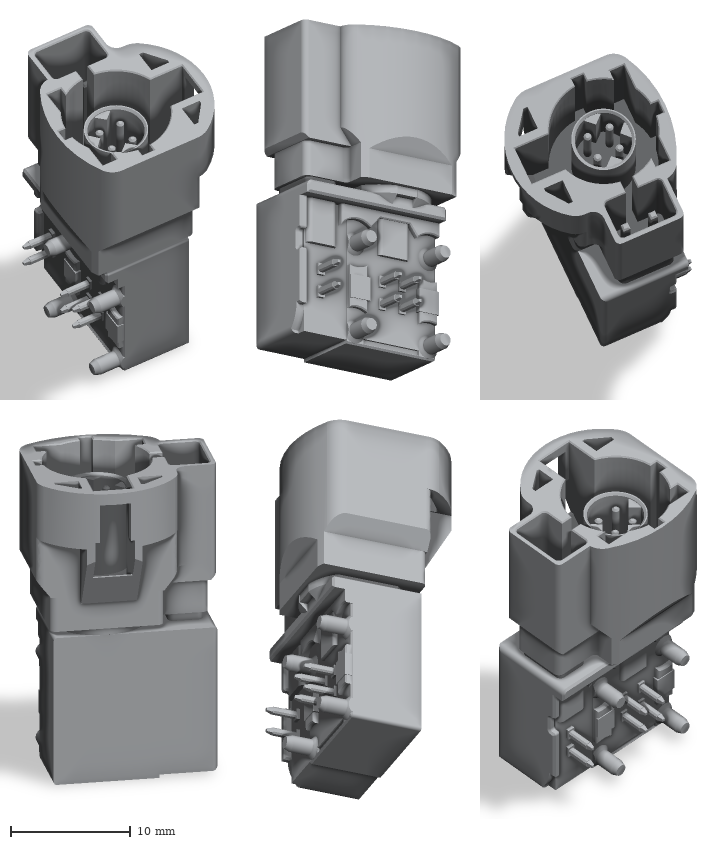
import cadquery as cq
import math


TOP_Z = 27.3
RIM_Z = 22.3
SHELL_Z = 16.93
COLLAR_Z = 13.87
BASE_TOP_Z = 13.15
LIP_Z = 12.0
CAVITY_Z = 17.88

SHELL_HALF_X = 6.0
REAR_Y = 8.45
REAR_RADIUS = 6.93
FRONT_Y = -5.68
FRONT_RADIUS = 10.78
REAR_CORNER_RADIUS = 2.05
FRONT_CORNER_RADIUS = 1.7
COLLAR_HALF = 4.83
COLLAR_CORNER = 0.55
SIDE_BEVEL_Z = 18.43
FRONT_FLAT_Z = 16.43
FRONT_BEVEL_Z = 17.9

CAVITY_RADIUS = 4.61
LEAD_IN = 0.1
KEY_WIDTH = 1.1
SIDE_KEY_X = 5.3
FRONT_KEY_Y = -5.27
CROSS_SLOT_HALF_X = 4.61
CROSS_SLOT_Y = (-3.99, -2.68)
SHIELD_RADIUS = 2.7
SHIELD_BORE = 2.4
SHIELD_BEVEL = 0.2
SHIELD_Z = 25.05
INSULATOR_Z = 19.65
RIB_Z = 24.8
RIB_TIP = 1.53
RIB_SHOULDER = 2.2
RIB_ROOT = 2.57
RIB_HALF_WIDTH = 0.75
RIB_ROOT_HALF_WIDTH = 0.55
CONTACT_RADIUS = 0.33
CONTACT_OFFSET = 1.0
CONTACT_Z = 24.38

RIM_HOLE_X = (-4.6, -2.5)
RIM_HOLE_Y = (4.91, 6.63)
RIM_HOLE_FAR_WIDTH = 0.27
RIM_HOLE_LEFT_HEIGHT = 0.38

TOWER_HALF_X = 2.38
TOWER_Z = 16.5
TOWER_FOOT_Y = 5.5
TOWER_SLOPE_TOP = (8.33, 21.38)
LATCH_HALF_X = 1.7
LATCH_Y = 7.4
LATCH_RAMP_Y = (5.73, 6.88)
LATCH_SILL_Z = 19.38
WINDOW_Z = 22.93
NARROW_WINDOW_HALF_X = 1.3
NARROW_WINDOW_Z = 26.32

PORT_X = -9.65
PORT_HALF_Y = 3.15
PORT_CORNER = 0.5
PORT_FILLET = 1.0
PORT_CAVITY_X = (-9.2, -5.7)
PORT_CAVITY_HALF_Y = 2.65
PORT_CAVITY_CORNER = 0.4
PORT_COLLAR_X = -9.05
PORT_COLLAR_HALF_Y = 2.55
PORT_COLLAR_CORNER = 0.57
PORT_COLLAR_FILLET = 0.4
BLADE_X = -7.2
BLADE_OFFSET_Y = 1.25
BLADE_WIDTH = 0.63
BLADE_TIP_WIDTH = 0.33
BLADE_Z = 23.2

NECK_RADIUS = 4.48
NECK_HALF_X = 3.55
NECK_SLOT_WIDTH = 2.02
NECK_FLAT_Y = -4.3
BOSS_Y = -2.32
PORT_NECK_X = (-8.68, -5.68)
PORT_NECK_Y = (-2.32, 2.32)
PORT_NECK_CORNER = 0.5

BASE_X = (-9.53, 4.53)
BASE_BACK_Y = 4.45
STEP_X = -4.48
LEFT_BOTTOM_Z = 0.3
LEFT_FACE_Y = -1.85
RIGHT_FACE_Y = -1.95
PAD_Y = -2.48
LIP_Y = -3.6
BASE_ROUND = 0.5
RIGHT_ROUND = 0.27
RIGHT_BEVEL = 0.16
LIP_CHAMFER = 0.2
WALL_X = -8.75
WALL_NOTCH_Z = (7.48, 9.15)
WALL_END_Z = 2.57
WALL_FOOT_MIDDLE = (-1.55, 1.42)
WALL_FOOT = (-1.0, 0.55)
WALL_NOTCH_ROUND = 0.22
WALL_CHAMFER = 0.2
HEADER_X = -5.35
HEADER_CUSP_FROM_PEG = 1.4
LEFT_BOSS_Z = 8.14
MIDDLE_BOSS_X = (-1.42, 1.58)
MIDDLE_BOSS_ROUND = 0.33
MIDDLE_BOSS_Z = (8.25, 11.45)
RECESS_HALF_X = 2.8
RECESS_Z = (0.2, 0.65)
RECESS_DEPTH = 0.22

PEG_X = (-3.75, 3.75)
PEG_Z = (1.12, 8.85)
PEG_RADIUS = 0.7
PEG_ROOT_RADIUS = 1.0
PEG_TIP_RADIUS = 0.52
PEG_SHOULDER_Y = -4.0
PEG_TIP_Y = -4.53
PEG_CLEARANCE = 2.1
PAD_X = ((-4.42, -2.65), (2.65, 4.42))
PAD_STEP = 0.08
RAISED_BEVEL = 0.1
PAD_Z = (2.75, 7.2)
PAD_BLOCK_X = ((-4.42, -2.48), (2.5, 4.48))
PAD_BLOCK_Z = (3.93, 5.98)
PIN_X = (BLADE_X, -0.98, 1.0)
PIN_Z = (3.99, 5.98)
PIN_WIDTH = 0.6
PIN_CHAMFER = 0.15
PIN_NECK_WIDTH = 0.5
PIN_TIP_WIDTH = 0.25
PIN_TAPER_Y = -4.23
PIN_TIP_Y = -4.78
PIN_COLLAR = (0.65, 0.98)
PIN_COLLAR_HEIGHT = 0.22

SPAN = 32.75


def block(x, y, z):
    """Box between pairs of limits along X, Y and Z."""
    size = (x[1] - x[0], y[1] - y[0], z[1] - z[0])
    return cq.Workplane("XY").box(*size, centered=False).translate((x[0], y[0], z[0]))


def cylinder(radius, z):
    return cq.Workplane("XY").workplane(offset=z[0]).circle(radius).extrude(z[1] - z[0])


def side_prism(points, half_x):
    """Prism across X, symmetric about X = 0, from a (Y, Z) outline."""
    return cq.Workplane("YZ").polyline(points).close().extrude(half_x, both=True)


def front_prism(points, front_y, back_y):
    """Prism along Y from an (X, Z) outline."""
    outline = cq.Workplane("XZ", origin=(0, back_y, 0)).polyline(points).close()
    return outline.extrude(back_y - front_y)


def shell_outline(bottom, top):
    """Prism with the outline of the round port: two arcs joined by straight sides."""
    rear_side_y = REAR_Y - REAR_RADIUS + math.sqrt(REAR_RADIUS**2 - SHELL_HALF_X**2)
    front_side_y = FRONT_Y + FRONT_RADIUS - math.sqrt(FRONT_RADIUS**2 - SHELL_HALF_X**2)
    outline = (
        cq.Workplane("XY").workplane(offset=bottom)
        .moveTo(-SHELL_HALF_X, front_side_y)
        .threePointArc((0, FRONT_Y), (SHELL_HALF_X, front_side_y))
        .lineTo(SHELL_HALF_X, rear_side_y)
        .threePointArc((0, REAR_Y), (-SHELL_HALF_X, rear_side_y))
        .close()
    )
    prism = outline.extrude(top - bottom)
    prism = prism.edges("|Z").edges(">Y").fillet(REAR_CORNER_RADIUS)
    return prism.edges("|Z").edges("<Y").fillet(FRONT_CORNER_RADIUS)


def front_part(half_x, bottom, top):
    """Shell outline cut off behind the collar, with rounded rear corners."""
    limits = block((-half_x, half_x), (-SPAN, COLLAR_HALF), (bottom, top))
    return shell_outline(bottom, top).intersect(limits).edges("|Z and >Y").fillet(COLLAR_CORNER)


def round_shell():
    rim = shell_outline(RIM_Z, TOP_Z)
    middle = front_part(SHELL_HALF_X, SHELL_Z, RIM_Z)
    for side in (-1, 1):
        bevel = [(side * COLLAR_HALF, SHELL_Z), (side * SHELL_HALF_X, SIDE_BEVEL_Z), (side * SPAN, SHELL_Z)]
        middle = middle.cut(front_prism(bevel, -SPAN, SPAN))
    tower = side_prism(
        [(0, TOWER_Z), (TOWER_FOOT_Y, TOWER_Z), TOWER_SLOPE_TOP, (REAR_Y, RIM_Z), (0, RIM_Z)],
        TOWER_HALF_X,
    )
    tower = tower.intersect(shell_outline(TOWER_Z, RIM_Z))
    collar = front_part(COLLAR_HALF, COLLAR_Z, SHELL_Z)
    return rim.union(middle).union(tower).union(collar)


def front_flat():
    """Cutter for the flat and the slope above it on the front of the collar."""
    return side_prism(
        [
            (-COLLAR_HALF, 0),
            (-COLLAR_HALF, FRONT_FLAT_Z),
            (FRONT_Y, FRONT_BEVEL_Z),
            (-SPAN, FRONT_BEVEL_Z),
            (-SPAN, 0),
        ],
        SHELL_HALF_X,
    )


def square_shell():
    shell = block((PORT_X, -COLLAR_HALF), (-PORT_HALF_Y, PORT_HALF_Y), (SHELL_Z, TOP_Z))
    shell = shell.edges("|Z and <X").fillet(PORT_CORNER)
    bevel = [(PORT_X, SHELL_Z), (PORT_X + PORT_CORNER, SHELL_Z), (PORT_X, SHELL_Z + PORT_CORNER)]
    return shell.cut(front_prism(bevel, -PORT_HALF_Y, PORT_HALF_Y))


def square_collar():
    limits_y = (-PORT_COLLAR_HALF_Y, PORT_COLLAR_HALF_Y)
    collar = block((PORT_COLLAR_X, -COLLAR_HALF), limits_y, (COLLAR_Z, SHELL_Z))
    collar = collar.edges("|Z and <X").fillet(PORT_COLLAR_CORNER)
    root = block(
        (-COLLAR_HALF - PORT_COLLAR_FILLET, -COLLAR_HALF),
        (-PORT_COLLAR_HALF_Y - PORT_COLLAR_FILLET, PORT_COLLAR_HALF_Y + PORT_COLLAR_FILLET),
        (COLLAR_Z, SHELL_Z),
    )
    for side in (-1, 1):
        hollow = cylinder(PORT_COLLAR_FILLET, (COLLAR_Z, SHELL_Z)).translate(
            (-COLLAR_HALF - PORT_COLLAR_FILLET, side * (PORT_COLLAR_HALF_Y + PORT_COLLAR_FILLET), 0)
        )
        root = root.cut(hollow)
    return collar.union(root)


def port_blend():
    """Concave blend behind the square port, where it joins the round shell."""
    corner = (-SHELL_HALF_X - PORT_FILLET, PORT_HALF_Y + PORT_FILLET)
    fill = block((corner[0], -SHELL_HALF_X), (PORT_HALF_Y, corner[1]), (SIDE_BEVEL_Z, TOP_Z))
    return fill.cut(cylinder(PORT_FILLET, (SIDE_BEVEL_Z, TOP_Z)).translate((*corner, 0)))


def round_cavity():
    depth = (CAVITY_Z, TOP_Z)
    half_key = KEY_WIDTH / 2
    cavity = cylinder(CAVITY_RADIUS, depth)
    cavity = cavity.union(block((PORT_CAVITY_X[1], SIDE_KEY_X), (-half_key, half_key), depth))
    cavity = cavity.union(block((-half_key, half_key), (FRONT_KEY_Y, 0), depth))
    return cavity.union(block((-CROSS_SLOT_HALF_X, CROSS_SLOT_HALF_X), CROSS_SLOT_Y, depth))


def latch_cavity():
    """Slot with a sloping rear floor, and the stepped window through the rear wall."""
    slot = side_prism(
        [
            (0, CAVITY_Z),
            (LATCH_RAMP_Y[0], CAVITY_Z),
            (LATCH_RAMP_Y[1], LATCH_SILL_Z),
            (LATCH_Y, LATCH_SILL_Z),
            (LATCH_Y, TOP_Z),
            (0, TOP_Z),
        ],
        LATCH_HALF_X,
    )
    wide = block((-LATCH_HALF_X, LATCH_HALF_X), (LATCH_Y, SPAN), (TOWER_Z, WINDOW_Z))
    narrow = block(
        (-NARROW_WINDOW_HALF_X, NARROW_WINDOW_HALF_X), (LATCH_Y, SPAN), (WINDOW_Z, NARROW_WINDOW_Z)
    )
    return slot.union(wide).union(narrow)


def rim_hole():
    """Five-sided hole through the rim on the left of the latch."""
    left, right = RIM_HOLE_X
    near, far = RIM_HOLE_Y
    corners = [
        (left, near),
        (right, near),
        (right, far),
        (right - RIM_HOLE_FAR_WIDTH, far),
        (left, near + RIM_HOLE_LEFT_HEIGHT),
    ]
    return cq.Workplane("XY").workplane(offset=RIM_Z).polyline(corners).close().extrude(TOP_Z - RIM_Z)


def square_cavity():
    limits_y = (-PORT_CAVITY_HALF_Y, PORT_CAVITY_HALF_Y)
    return block(PORT_CAVITY_X, limits_y, (CAVITY_Z, TOP_Z)).edges("|Z").fillet(PORT_CAVITY_CORNER)


def lead_in(cavity):
    """Sloping bevel around the mouth of a cavity."""
    mouth = cavity.faces(">Z").wires().toPending().workplane(origin=(0, 0, TOP_Z))
    return mouth.offset2D(LEAD_IN, "intersection").extrude(-LEAD_IN, combine=False, taper=45)


def inner_connector():
    """Shield tube with its insulator, three keying ribs and four round contacts."""
    inner = cylinder(SHIELD_RADIUS, (CAVITY_Z, SHIELD_Z))
    inner = inner.cut(cylinder(SHIELD_BORE, (INSULATOR_Z, SHIELD_Z)))
    bore_edge = inner.faces(">Z").edges(cq.selectors.RadiusNthSelector(0))
    inner = bore_edge.chamfer(SHIELD_BEVEL)
    rib_outline = [
        (0, -RIB_TIP),
        (RIB_HALF_WIDTH, -RIB_SHOULDER),
        (RIB_ROOT_HALF_WIDTH, -RIB_ROOT),
        (-RIB_ROOT_HALF_WIDTH, -RIB_ROOT),
        (-RIB_HALF_WIDTH, -RIB_SHOULDER),
    ]
    rib = cq.Workplane("XY").workplane(offset=INSULATOR_Z).polyline(rib_outline).close()
    rib = rib.extrude(RIB_Z - INSULATOR_Z)
    for angle in (-90, 0, 90):
        inner = inner.union(rib.rotate((0, 0, 0), (0, 0, 1), angle))
    contact = cylinder(CONTACT_RADIUS, (CAVITY_Z, CONTACT_Z)).faces(">Z").chamfer(CONTACT_RADIUS / 2)
    for x in (-CONTACT_OFFSET, CONTACT_OFFSET):
        for y in (-CONTACT_OFFSET, CONTACT_OFFSET):
            inner = inner.union(contact.translate((x, y, 0)))
    return inner


def square_blade():
    blade = cq.Workplane("XY").workplane(offset=CAVITY_Z).rect(BLADE_WIDTH, BLADE_WIDTH)
    return blade.extrude(BLADE_Z - CAVITY_Z).faces(">Z").chamfer((BLADE_WIDTH - BLADE_TIP_WIDTH) / 2)


def necks():
    limits = block((-NECK_HALF_X, NECK_HALF_X), (-SPAN, SPAN), (0, SPAN))
    half_slot = NECK_SLOT_WIDTH / 2
    round_part = cylinder(NECK_RADIUS, (BASE_TOP_Z, COLLAR_Z))
    beyond_flat = block((-half_slot, half_slot), (-SPAN, NECK_FLAT_Y), (0, SPAN))
    round_part = round_part.cut(beyond_flat)
    cone_drop = NECK_RADIUS + LIP_Y
    cone = cq.Workplane("XY").workplane(offset=BASE_TOP_Z).circle(NECK_RADIUS).extrude(-cone_drop, taper=45)
    cone = cone.cut(block((-half_slot, half_slot), (-SPAN, LIP_Y), (0, BASE_TOP_Z)))
    square_part = block(PORT_NECK_X, PORT_NECK_Y, (LIP_Z, COLLAR_Z))
    square_part = square_part.edges("|Z").fillet(PORT_NECK_CORNER)
    return round_part.union(cone).intersect(limits).union(square_part)


def peg_clearance():
    """Cylinders along Y that keep raised areas clear of the four pegs."""
    spots = [(x, z) for x in PEG_X for z in PEG_Z]
    return cq.Workplane("XZ").pushPoints(spots).circle(PEG_CLEARANCE).extrude(-2 * LIP_Y, both=True)


def base_body():
    body = block(BASE_X, (WALL_FOOT[0], BASE_BACK_Y), (LEFT_BOTTOM_Z, BASE_TOP_Z))
    body = body.union(block(BASE_X, (LIP_Y, BASE_BACK_Y), (LIP_Z, BASE_TOP_Z)))
    body = body.faces("<X").edges(">Y or <Z or >Z").fillet(BASE_ROUND)
    body = body.faces(">X").edges(">Z").fillet(RIGHT_ROUND)
    body = body.edges("|X and <Y").chamfer(LIP_CHAMFER)
    left = block((WALL_X, STEP_X), (LEFT_FACE_Y, 0), (LEFT_BOTTOM_Z, LIP_Z))
    right = block((STEP_X, BASE_X[1]), (RIGHT_FACE_Y, BASE_BACK_Y), (0, LIP_Z))
    right = right.faces(">X").edges("<Z").fillet(RIGHT_ROUND)
    right = right.edges("|Z and >X and <Y").chamfer(RIGHT_BEVEL)
    recess = block((-RECESS_HALF_X, RECESS_HALF_X), (RIGHT_FACE_Y, RIGHT_FACE_Y + RECESS_DEPTH), RECESS_Z)
    return body.union(left).union(right.cut(recess))


def left_wall():
    """Wall along the left edge of the base, with a notch and a curved foot."""
    foot_y, foot_z = WALL_FOOT
    wall = (
        cq.Workplane("YZ", origin=(BASE_X[0], 0, 0))
        .moveTo(0, LIP_Z)
        .lineTo(PAD_Y, LIP_Z)
        .lineTo(PAD_Y, WALL_NOTCH_Z[1])
        .lineTo(LEFT_FACE_Y, WALL_NOTCH_Z[1])
        .lineTo(LEFT_FACE_Y, WALL_NOTCH_Z[0])
        .lineTo(PAD_Y, WALL_NOTCH_Z[0])
        .lineTo(PAD_Y, WALL_END_Z)
        .lineTo(LEFT_FACE_Y, WALL_END_Z)
        .threePointArc(WALL_FOOT_MIDDLE, WALL_FOOT)
        .lineTo(foot_y, foot_z + BASE_ROUND)
        .lineTo(0, foot_z + BASE_ROUND)
        .close()
        .extrude(WALL_X - BASE_X[0])
    )
    near_notch = cq.selectors.BoxSelector(
        (-SPAN, PAD_Y - 0.27, WALL_NOTCH_Z[0] - 0.27), (SPAN, LEFT_FACE_Y + 0.27, WALL_NOTCH_Z[1] + 0.27)
    )
    wall = wall.edges("|X").edges(near_notch).fillet(WALL_NOTCH_ROUND)
    front = cq.selectors.BoxSelector(
        (BASE_X[0] - 0.27, PAD_Y - 0.27, WALL_END_Z - 0.27), (WALL_X + 0.27, LEFT_FACE_Y + 0.15, LIP_Z - 0.27)
    )
    return wall.edges("not |X").edges(front).chamfer(WALL_CHAMFER)


def header():
    """Raised band below the lip, scalloped around the upper pegs and dipping at the middle boss."""
    cusp_z = PEG_Z[1] + math.sqrt(PEG_CLEARANCE**2 - HEADER_CUSP_FROM_PEG**2)
    points = [
        (HEADER_X, LIP_Z),
        (HEADER_X, PEG_Z[1]),
        (PEG_X[0], PEG_Z[1]),
        (PEG_X[0] + HEADER_CUSP_FROM_PEG, cusp_z),
        (MIDDLE_BOSS_X[0], MIDDLE_BOSS_Z[1]),
        (MIDDLE_BOSS_X[1], MIDDLE_BOSS_Z[1]),
        (PEG_X[1] - HEADER_CUSP_FROM_PEG, cusp_z),
        (PEG_X[1], PEG_Z[1]),
        (BASE_X[1], PEG_Z[1]),
        (BASE_X[1], LIP_Z),
    ]
    band = front_prism(points, PAD_Y, 0).cut(peg_clearance())
    return band.faces("<Y").edges("not (>X or >Z)").chamfer(RAISED_BEVEL)


def boss(x, z, corner):
    """Raised rectangle on the front of the base with rounded upright edges."""
    return block(x, (BOSS_Y, 0), z).edges("|Z and <Y").fillet(corner)


def pads():
    """Two standing pads between the pegs, hollowed above and below around them."""
    both = None
    for pad_x, block_x in zip(PAD_X, PAD_BLOCK_X):
        pad = block(pad_x, (PAD_Y + PAD_STEP, 0), PAD_Z).cut(peg_clearance())
        pad = pad.faces("<Y").edges().chamfer(RAISED_BEVEL)
        pad = pad.union(block(block_x, (PAD_Y, 0), PAD_BLOCK_Z))
        both = pad if both is None else both.union(pad)
    return both


def pegs():
    """Four round pegs with flared roots and bevelled tips, kept within the side of the base."""
    profile = [
        (0, 0), (-PEG_ROOT_RADIUS, 0), (-PEG_ROOT_RADIUS, RIGHT_FACE_Y),
        (-PEG_RADIUS, RIGHT_FACE_Y - PEG_ROOT_RADIUS + PEG_RADIUS), (-PEG_RADIUS, PEG_SHOULDER_Y),
        (-PEG_TIP_RADIUS, PEG_TIP_Y), (0, PEG_TIP_Y),
    ]
    peg = cq.Workplane("XY").polyline(profile).close().revolve(360, (0, 0, 0), (0, 1, 0))
    limits = block((STEP_X, BASE_X[1]), (-SPAN, SPAN), (0, SPAN))
    all_pegs = cq.Workplane("XY")
    for x in PEG_X:
        for z in PEG_Z:
            all_pegs = all_pegs.add(peg.translate((x, 0, z)).intersect(limits))
    return all_pegs.combine()


def solder_pin():
    """Square pin with bevelled edges, a pointed tip and a flat collar at the base."""
    shaft = cq.Workplane("XZ").rect(PIN_WIDTH, PIN_WIDTH).extrude(-PIN_TAPER_Y)
    shaft = shaft.edges("|Y").chamfer(PIN_CHAMFER)
    tip_length = PIN_TAPER_Y - PIN_TIP_Y
    tip_angle = math.degrees(math.atan((PIN_NECK_WIDTH - PIN_TIP_WIDTH) / 2 / tip_length))
    tip = (
        cq.Workplane("XZ", origin=(0, PIN_TAPER_Y, 0))
        .rect(PIN_NECK_WIDTH, PIN_NECK_WIDTH).extrude(tip_length, taper=tip_angle)
    )
    collar = cq.Workplane("XZ").rect(*PIN_COLLAR).extrude(PIN_COLLAR_HEIGHT - RIGHT_FACE_Y)
    return shaft.union(tip).union(collar)


result = round_shell().cut(front_flat())
result = result.union(square_shell()).union(square_collar()).union(port_blend())
round_port = round_cavity().union(latch_cavity())
for cavity in (round_port, square_cavity()):
    result = result.cut(cavity).cut(lead_in(cavity))
result = result.cut(rim_hole()).cut(rim_hole().mirror("YZ"))
result = result.union(inner_connector())
for y in (-BLADE_OFFSET_Y, BLADE_OFFSET_Y):
    result = result.union(square_blade().translate((BLADE_X, y, 0)))

base = base_body().union(left_wall()).union(header()).union(pads()).union(pegs())
base = base.union(boss(MIDDLE_BOSS_X, MIDDLE_BOSS_Z, MIDDLE_BOSS_ROUND))
base = base.union(boss(PORT_NECK_X, (LEFT_BOSS_Z, LIP_Z), PORT_NECK_CORNER))
for x in PIN_X:
    for z in PIN_Z:
        base = base.union(solder_pin().translate((x, 0, z)))

result = result.union(necks()).union(base)